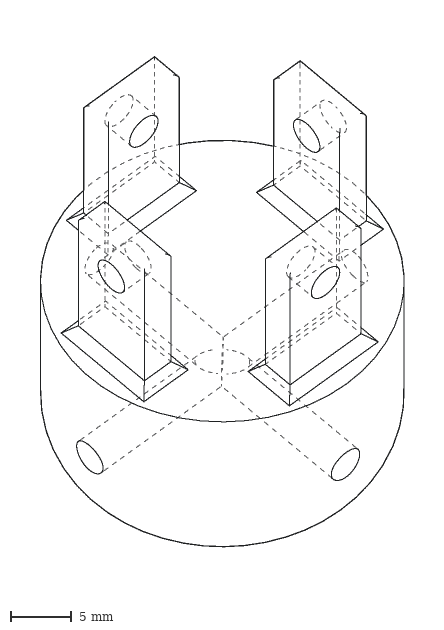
import cadquery as cq

body_diameter = 30.0
body_height = 19.5
bottom_fillet = 5.0

total_height = 34.5
tab_count = 4
tab_thickness = 3.0
tab_width = 8.0
tab_radius = 11.0
tab_top_fillet = 0.4
tab_foot_flare = 1.0

hole_diameter = 3.2
body_hole_height = 9.0
tab_hole_drop = 4.0
tab_hole_height = total_height - tab_hole_drop


def make_body():
    """Solid cylinder with a rounded bottom edge."""
    cylinder = cq.Workplane("XY").circle(body_diameter / 2).extrude(body_height)
    return cylinder.faces("<Z").edges().fillet(bottom_fillet)


def make_tab():
    """Tab on the +X side, with rounded top edges and a flared foot."""
    base = cq.Workplane("XY", origin=(tab_radius, 0, body_height))
    blade = base.rect(tab_thickness, tab_width).extrude(total_height - body_height)
    blade = blade.faces(">Z").edges().fillet(tab_top_fillet)
    foot = (
        base.rect(tab_thickness + 2 * tab_foot_flare, tab_width + 2 * tab_foot_flare)
        .workplane(offset=tab_foot_flare)
        .rect(tab_thickness, tab_width)
        .loft(ruled=True)
    )
    return blade.union(foot)


def cross_hole(plane, height):
    """Cutter across the whole part, through the body axis and normal to the plane."""
    start = cq.Workplane(plane, origin=(0, 0, height))
    return start.circle(hole_diameter / 2).extrude(body_diameter, both=True)


result = make_body()

tab = make_tab()
for index in range(tab_count):
    angle = index * 360 / tab_count
    result = result.union(tab.rotate((0, 0, 0), (0, 0, 1), angle))

for plane in ("XZ", "YZ"):
    for height in (body_hole_height, tab_hole_height):
        result = result.cut(cross_hole(plane, height))